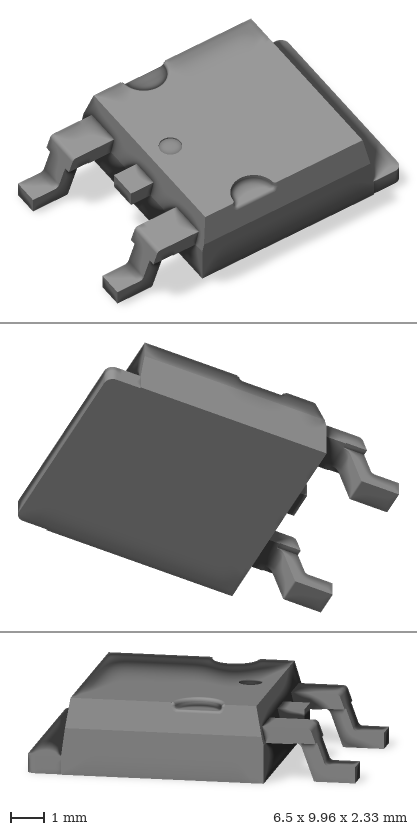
import cadquery as cq
import math

overall_length = 9.96

body_width = 6.5
body_length = 6.21
body_height = 2.33
front_taper_start = 1.18
side_taper_start = 1.44
front_inset = 0.27
side_inset = 0.24
back_inset = 0.25

tab_width = 6.43
tab_thickness = 0.54
tab_corner_radius = 0.28

lead_reach = 2.69
lead_spacing = 4.56
lead_width = 1.22
foot_width = 0.82
lead_thickness = 0.5
lead_underside = 1.18
lead_slope = math.tan(math.radians(20))
shoulder_y = -1.35
heel_y = -1.43
bend_radius = 0.15
under_bend_radius = 0.25
heel_radius = 0.05
notch_start_y = -0.83
notch_top = 1.21
lead_embed = 0.4
stub_width = 0.92
stub_reach = 0.71

pocket_radius = 0.71
pocket_depth = 0.21
pocket_edge_offset = 0.28
pocket_y = 2.05
pocket_rim_radius = 0.1
pocket_floor_radius = 0.09
dot_diameter = 0.71
dot_depth = 0.05
dot_y = 1.03


def make_block(width, y_start, y_end, z_start, z_end):
    """Box centred on X = 0 between the given Y and Z limits."""
    return cq.Workplane("XY").box(
        width, y_end - y_start, z_end - z_start, centered=(True, False, False)
    ).translate((0, y_start, z_start))


def extrude_side_profile(points, width):
    """Extrude a closed (Y, Z) outline symmetrically along X."""
    return cq.Workplane("YZ").polyline(points).close().extrude(width / 2, both=True)


def make_body():
    """Block tapered on all four sides: a side profile crossed with a front profile."""
    side = extrude_side_profile(
        [
            (0, 0),
            (body_length, 0),
            (body_length, tab_thickness),
            (body_length - back_inset, body_height),
            (front_inset, body_height),
            (0, front_taper_start),
        ],
        body_width,
    )
    half = body_width / 2
    front = (
        cq.Workplane("XZ")
        .polyline(
            [
                (-half, 0),
                (half, 0),
                (half, side_taper_start),
                (half - side_inset, body_height),
                (side_inset - half, body_height),
                (-half, side_taper_start),
            ]
        )
        .close()
        .extrude(-body_length)
    )
    return side.intersect(front)


def make_pocket_cutter(side):
    """Half-round recess open towards one side (-1 or 1), with a rounded floor edge."""
    round_end = cq.Workplane("XY").circle(pocket_radius).extrude(pocket_depth)
    open_end = cq.Workplane("XY").box(
        pocket_radius, 2 * pocket_radius, pocket_depth, centered=(False, True, False)
    )
    cutter = round_end.union(open_end)
    cutter = cutter.faces("<Z").edges("not >X").fillet(pocket_floor_radius)
    if side < 0:
        cutter = cutter.mirror("YZ")
    center_x = side * (body_width / 2 - pocket_edge_offset)
    return cutter.translate((center_x, pocket_y, body_height - pocket_depth))


def nearest_edge(body, point):
    """Edge of the body that passes closest to a point."""
    vertex = cq.Vertex.makeVertex(*point)
    return min(body.edges().vals(), key=lambda edge: edge.distance(vertex))


def cut_pocket(body, side, round_rim):
    """Cut one recess, round its side opening and, if asked, its rim in the top face."""
    body = body.cut(make_pocket_cutter(side))
    depth_slope = side_inset / (body_height - side_taper_start)
    opening_x = side * (body_width / 2 - side_inset + pocket_depth * depth_slope)
    opening = nearest_edge(body, (opening_x, pocket_y, body_height - pocket_depth))
    rounded = body.newObject([opening]).fillet(pocket_rim_radius)
    if round_rim:
        rim_x = side * (body_width / 2 - pocket_edge_offset - pocket_radius)
        rim = nearest_edge(rounded, (rim_x, pocket_y, body_height))
        rounded = rounded.newObject([rim]).fillet(pocket_rim_radius)
    reach = pocket_radius + pocket_rim_radius
    surround = make_block(body_width, pocket_y - reach, pocket_y + reach, 0, body_height)
    return body.cut(surround).union(rounded.intersect(surround))


def make_lead():
    """Gull-wing lead centred on X = 0, narrowed below the bend."""
    top = lead_underside + lead_thickness
    foot_y = shoulder_y - (top - lead_thickness) * lead_slope
    under_y = heel_y + lead_underside * lead_slope
    lead = extrude_side_profile(
        [
            (lead_embed, top),
            (shoulder_y, top),
            (foot_y, lead_thickness),
            (-lead_reach, lead_thickness),
            (-lead_reach, 0),
            (heel_y, 0),
            (under_y, lead_underside),
            (lead_embed, lead_underside),
        ],
        lead_width,
    )
    bends = [
        (shoulder_y, top, bend_radius),
        (foot_y, lead_thickness, bend_radius),
        (under_y, lead_underside, under_bend_radius),
        (heel_y, 0, heel_radius),
    ]
    for y, z, radius in bends:
        lead = lead.edges(cq.NearestToPointSelector((0, y, z))).fillet(radius)
    notch = make_block(lead_width, -lead_reach, notch_start_y, 0, notch_top)
    foot_space = make_block(foot_width, -lead_reach, notch_start_y, 0, notch_top)
    return lead.cut(notch.cut(foot_space))


body = make_body()
body = cut_pocket(body, side=-1, round_rim=True)
body = cut_pocket(body, side=1, round_rim=False)
dot = cq.Workplane("XY").center(0, dot_y).circle(dot_diameter / 2).extrude(dot_depth)
body = body.cut(dot.translate((0, 0, body_height - dot_depth)))

tab_end = overall_length - lead_reach
tab = make_block(tab_width, body_length / 2, tab_end, 0, tab_thickness)
tab = tab.edges("|Z and >Y").fillet(tab_corner_radius)

stub = make_block(stub_width, -stub_reach, lead_embed, lead_underside, lead_underside + lead_thickness)

result = body.union(tab).union(stub)
for side in (-1, 1):
    result = result.union(make_lead().translate((side * lead_spacing / 2, 0, 0)))